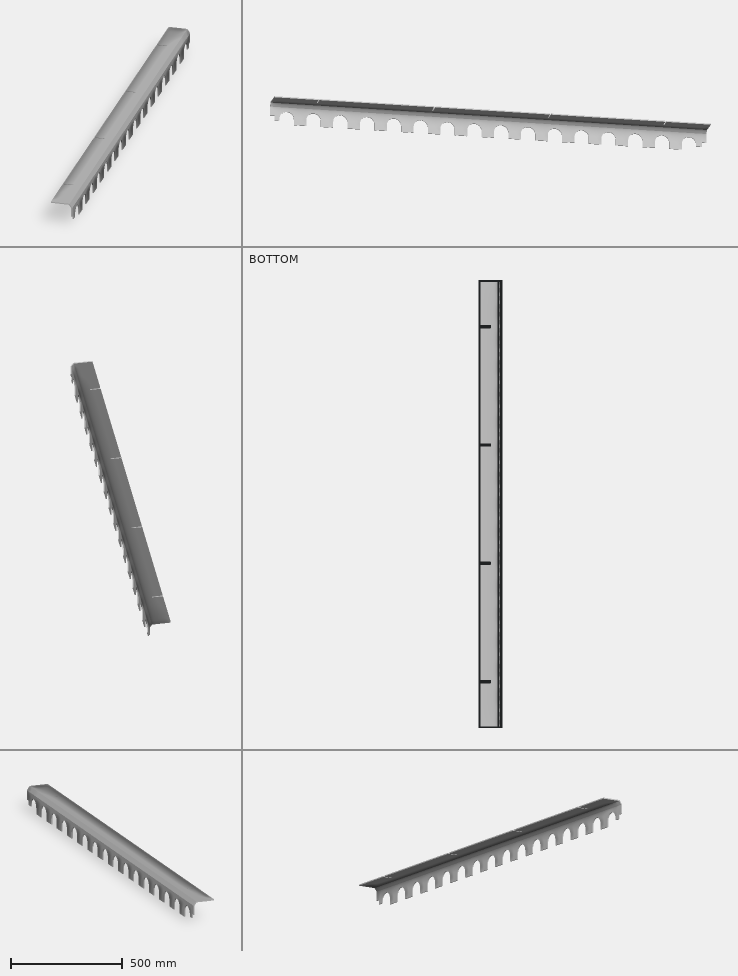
import cadquery as cq
import math

length = 2000.0
flange_width = 100.0
flange_height = 100.0
thickness = 5.0
strip_run = 13.0
strip_drop = 19.0

arch_count = 16
arch_row_span = 1845.0
arch_pitch = arch_row_span / (arch_count - 1)
arch_row_shift = 2.0
arch_width = 65.0
arch_radius = arch_width / 2
arch_top_depth = 40.0

end_step_width = 20.0
end_step_depth = 62.0
end_tooth_depth = 82.0

slot_count = 4
slot_pitch = 530.0
slot_length = 48.0
slot_width = 5.0

top_z = flange_height / 2
outer_x = flange_width / 2


def centered_positions(count, pitch):
    """Evenly spaced Y positions, symmetric about the middle of the length."""
    return [(i - (count - 1) / 2) * pitch for i in range(count)]


def make_angle():
    """Sheet of uniform thickness, folded twice along straight lines."""
    strip_slope = math.atan2(strip_drop, strip_run)
    upper_setback = thickness * math.tan(strip_slope / 2)
    lower_setback = thickness * math.tan((math.pi / 2 - strip_slope) / 2)
    profile = [
        (-outer_x, top_z),
        (outer_x - strip_run, top_z),
        (outer_x, top_z - strip_drop),
        (outer_x, -top_z),
        (outer_x - thickness, -top_z),
        (outer_x - thickness, top_z - strip_drop - lower_setback),
        (outer_x - strip_run - upper_setback, top_z - thickness),
        (-outer_x, top_z - thickness),
    ]
    return cq.Workplane("XZ").polyline(profile).close().extrude(length / 2, both=True)


def hanging_flange_cutter(y_min, y_max, upper_depth):
    """Block removing the hanging flange below a depth from the top face."""
    return cq.Workplane("XY").box(
        flange_width, y_max - y_min, flange_height, centered=(True, False, False)
    ).translate((0, y_min, top_z - upper_depth - flange_height))


def make_arch_cutter(y):
    """Round-topped opening, open at the bottom edge."""
    axis_depth = arch_top_depth + arch_radius
    head = (
        cq.Workplane("YZ")
        .center(y, top_z - axis_depth)
        .circle(arch_radius)
        .extrude(flange_width / 2, both=True)
    )
    return head.union(hanging_flange_cutter(y - arch_radius, y + arch_radius, axis_depth))


def make_slot_cutter(y):
    """Straight slot through the top flange, open at its free edge."""
    return cq.Workplane("XY").box(
        slot_length, slot_width, flange_height, centered=(False, True, True)
    ).translate((-outer_x, y, 0))


def make_end_cutters():
    """Two-level steps that shorten the hanging flange at the +Y end."""
    end_y = length / 2
    step_y = end_y - end_step_width
    arch_side_y = centered_positions(arch_count, arch_pitch)[-1]
    corner = hanging_flange_cutter(step_y, end_y, end_step_depth)
    tooth = hanging_flange_cutter(arch_side_y, end_y, end_tooth_depth)
    return corner.union(tooth)


result = make_angle()

for arch_y in centered_positions(arch_count, arch_pitch):
    result = result.cut(make_arch_cutter(arch_y + arch_row_shift))

end_cutters = make_end_cutters()
result = result.cut(end_cutters).cut(end_cutters.mirror("XZ"))

for slot_y in centered_positions(slot_count, slot_pitch):
    result = result.cut(make_slot_cutter(slot_y))